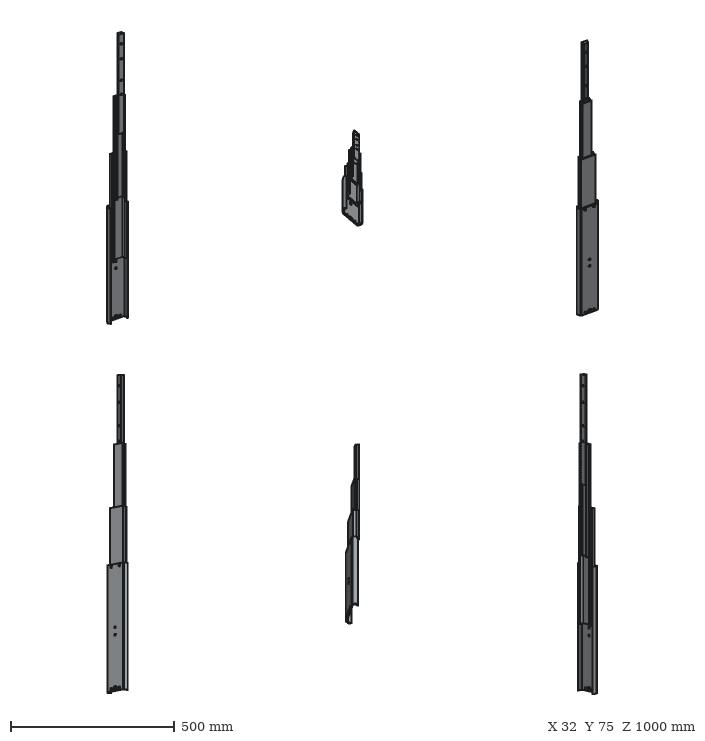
import cadquery as cq


OUTER_LENGTH = 400
LARGE_BOTTOM, LARGE_TOP = 212.0, 581.0
SMALL_BOTTOM, SMALL_TOP = 428.0, 782.0
BAR_BOTTOM, BAR_TOP = 655.0, 1000

OUTER_HALF_WIDTH = 75.0 / 2
OUTER_DEPTH = 21.0
OUTER_WEB = 5.0
OUTER_WEB_HALF_WIDTH = 29.0
OUTER_INSIDE_HALF_WIDTH = 31.0
BACK_BEVEL_DEPTH = 2.5
BACK_BEVEL_HALF_WIDTH = 33.0
SIDE_BEVEL_DEPTH = 8.5
SIDE_BEVEL_HALF_WIDTH = 36.0
LIP_LENGTH = 1.0
LIP_HALF_WIDTH = 33.0
BULGE_CREST_X = 13.0
OUTER_RACE_DEPTH = 2.0

LARGE_BACK, LARGE_FRONT = 6.0, 24.0
LARGE_HALF_WIDTH = 26.0
LARGE_WEB = 5.0
LARGE_FLANGE = 7.0
LARGE_GROOVE_START, LARGE_GROOVE_END = 8.0, 17.0
LARGE_GROOVE_DEPTH = 3.0

SMALL_BACK, SMALL_FRONT = 14.0, 30.0
SMALL_HALF_WIDTH = 17.0
SMALL_WEB = 5.0
SMALL_FLANGE = 4.5
SMALL_GROOVE_START, SMALL_GROOVE_END = SMALL_BACK + 2.5, 23.0
SMALL_GROOVE_DEPTH = 2.0

BAR_BACK, BAR_RIM, BAR_FRONT = 20.0, 29.0, 32.0
BAR_SHOULDER = BAR_BACK + 3.5
BAR_BACK_HALF_WIDTH = 4.5
BAR_SHOULDER_HALF_WIDTH = 7.5
BAR_HALF_WIDTH = 21.0 / 2
BAR_BACK_BEVEL = 1.0

MOUNT_HOLE_RADIUS = 3.5
MOUNT_HOLE_Y = 16.0
MOUNT_HOLE_INSET = 7.0
BAR_HOLE_RADIUS = 3.0
BAR_HOLE_HEIGHTS = (791.0, 840.0, 914.0, 966.0)
RIVET_RADIUS = 3.2
RIVET_BORE_RADIUS = 1.5
RIVET_HEIGHTS = (176.0, 200.0)
PLUG_RADIUS = 7.0
PLUG_HEIGHT = 7.5
DISH_RADIUS = 6.5
DISH_FLOOR_RADIUS = 2.0
DISH_DEPTH = 4.0


def cylinder_along_x(radius, x, y, z, length):
    return cq.Workplane("YZ", origin=(x, y, z)).circle(radius).extrude(length)


def extrude_mirrored(half_outline, bottom, top):
    """Mirror an open half outline that starts and ends on Y = 0, then extrude it along Z."""
    return half_outline.mirrorX().extrude(top - bottom).translate((0, 0, bottom))


def make_outer_rail():
    """C-channel with bevelled back corners, a bulging flange and a shallow ball race inside each."""
    bulge_end = OUTER_DEPTH - LIP_LENGTH
    race_middle = (SIDE_BEVEL_DEPTH + bulge_end) / 2
    half_outline = (
        cq.Workplane("XY")
        .lineTo(0, OUTER_WEB_HALF_WIDTH)
        .lineTo(BACK_BEVEL_DEPTH, BACK_BEVEL_HALF_WIDTH)
        .lineTo(SIDE_BEVEL_DEPTH, SIDE_BEVEL_HALF_WIDTH)
        .threePointArc((BULGE_CREST_X, OUTER_HALF_WIDTH), (bulge_end, LIP_HALF_WIDTH))
        .lineTo(OUTER_DEPTH, LIP_HALF_WIDTH)
        .lineTo(OUTER_DEPTH, OUTER_INSIDE_HALF_WIDTH)
        .lineTo(bulge_end, OUTER_INSIDE_HALF_WIDTH)
        .threePointArc(
            (race_middle, OUTER_INSIDE_HALF_WIDTH + OUTER_RACE_DEPTH),
            (SIDE_BEVEL_DEPTH, OUTER_INSIDE_HALF_WIDTH),
        )
        .lineTo(OUTER_WEB, OUTER_INSIDE_HALF_WIDTH)
        .lineTo(OUTER_WEB, 0)
    )
    body = extrude_mirrored(half_outline, 0, OUTER_LENGTH)
    for y in (-MOUNT_HOLE_Y, MOUNT_HOLE_Y):
        for z in (MOUNT_HOLE_INSET, OUTER_LENGTH - MOUNT_HOLE_INSET):
            body = body.cut(cylinder_along_x(MOUNT_HOLE_RADIUS, 0, y, z, OUTER_WEB))
    for z in RIVET_HEIGHTS:
        body = body.cut(cylinder_along_x(RIVET_RADIUS, 0, 0, z, OUTER_WEB))
    return body.cut(cylinder_along_x(PLUG_RADIUS, 0, 0, PLUG_HEIGHT, OUTER_WEB))


def make_large_rail():
    """C-channel with a round ball groove along each outer side."""
    groove_middle = (LARGE_GROOVE_START + LARGE_GROOVE_END) / 2
    inside = LARGE_HALF_WIDTH - LARGE_FLANGE
    half_outline = (
        cq.Workplane("XY")
        .moveTo(LARGE_BACK, 0)
        .lineTo(LARGE_BACK, LARGE_HALF_WIDTH)
        .lineTo(LARGE_GROOVE_START, LARGE_HALF_WIDTH)
        .threePointArc(
            (groove_middle, LARGE_HALF_WIDTH - LARGE_GROOVE_DEPTH),
            (LARGE_GROOVE_END, LARGE_HALF_WIDTH),
        )
        .lineTo(LARGE_FRONT, LARGE_HALF_WIDTH)
        .lineTo(LARGE_FRONT, inside)
        .lineTo(LARGE_BACK + LARGE_WEB, inside)
        .lineTo(LARGE_BACK + LARGE_WEB, 0)
    )
    return extrude_mirrored(half_outline, LARGE_BOTTOM, LARGE_TOP)


def make_small_rail():
    """C-channel with a bevelled flat groove along each outer side."""
    groove_floor = SMALL_HALF_WIDTH - SMALL_GROOVE_DEPTH
    inside = SMALL_HALF_WIDTH - SMALL_FLANGE
    half_outline = (
        cq.Workplane("XY")
        .moveTo(SMALL_BACK, 0)
        .lineTo(SMALL_BACK, SMALL_HALF_WIDTH)
        .lineTo(SMALL_GROOVE_START, SMALL_HALF_WIDTH)
        .lineTo(SMALL_GROOVE_START + SMALL_GROOVE_DEPTH, groove_floor)
        .lineTo(SMALL_GROOVE_END - SMALL_GROOVE_DEPTH, groove_floor)
        .lineTo(SMALL_GROOVE_END, SMALL_HALF_WIDTH)
        .lineTo(SMALL_FRONT, SMALL_HALF_WIDTH)
        .lineTo(SMALL_FRONT, inside)
        .lineTo(SMALL_BACK + SMALL_WEB, inside)
        .lineTo(SMALL_BACK + SMALL_WEB, 0)
    )
    return extrude_mirrored(half_outline, SMALL_BOTTOM, SMALL_TOP)


def make_bar():
    """Solid bar that widens in steps and bevels from its back to its front rim."""
    half_outline = (
        cq.Workplane("XY")
        .moveTo(BAR_BACK, 0)
        .lineTo(BAR_BACK, BAR_BACK_HALF_WIDTH)
        .lineTo(BAR_BACK + BAR_BACK_BEVEL, BAR_SHOULDER_HALF_WIDTH)
        .lineTo(BAR_SHOULDER, BAR_SHOULDER_HALF_WIDTH)
        .lineTo(BAR_RIM, BAR_HALF_WIDTH)
        .lineTo(BAR_FRONT, BAR_HALF_WIDTH)
        .lineTo(BAR_FRONT, 0)
    )
    body = extrude_mirrored(half_outline, BAR_BOTTOM, BAR_TOP)
    for z in BAR_HOLE_HEIGHTS:
        body = body.cut(cylinder_along_x(BAR_HOLE_RADIUS, BAR_BACK, 0, z, BAR_FRONT - BAR_BACK))
    return body


def make_rivet(z):
    """Hollow rivet, flush with both faces of the outer rail's web."""
    body = cylinder_along_x(RIVET_RADIUS, 0, 0, z, OUTER_WEB)
    return body.cut(cylinder_along_x(RIVET_BORE_RADIUS, 0, 0, z, OUTER_WEB))


def make_plug():
    """Plug in the lower end of the web, with a conical dish in its back face."""
    dish = cq.Solid.makeCone(
        DISH_RADIUS,
        DISH_FLOOR_RADIUS,
        DISH_DEPTH,
        pnt=cq.Vector(0, 0, PLUG_HEIGHT),
        dir=cq.Vector(1, 0, 0),
    )
    return cylinder_along_x(PLUG_RADIUS, 0, 0, PLUG_HEIGHT, OUTER_WEB).cut(cq.Workplane(dish))


outer_rail = make_outer_rail()
large_rail = make_large_rail()
small_rail = make_small_rail()
bar = make_bar()
rivets = [make_rivet(z) for z in RIVET_HEIGHTS]
plug = make_plug()

result = cq.Compound.makeCompound(
    [
        outer_rail.val(),
        large_rail.val(),
        small_rail.val(),
        bar.val(),
        *[rivet.val() for rivet in rivets],
        plug.val(),
    ]
)